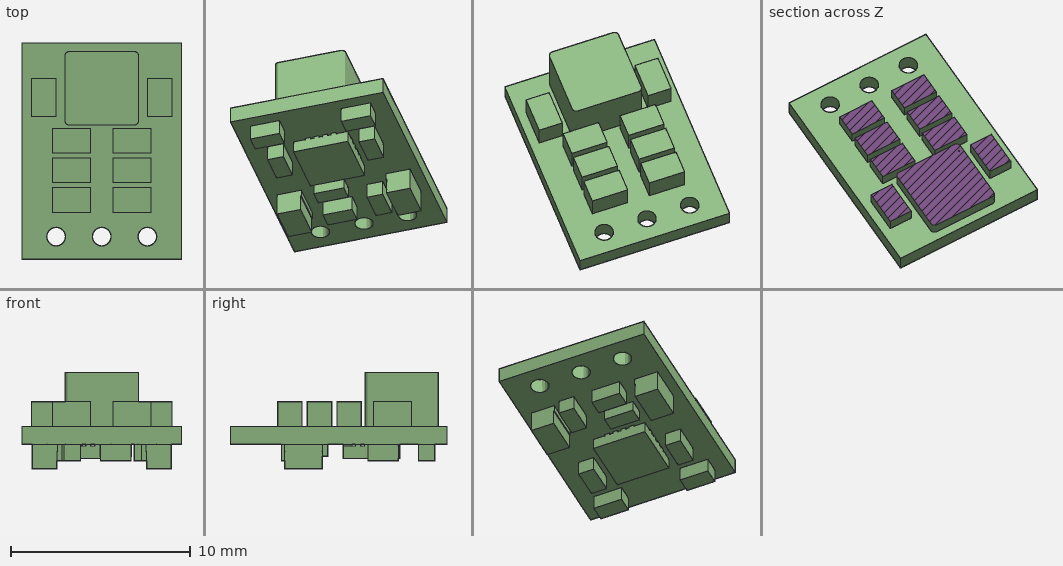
import cadquery as cq

BOARD_WIDTH = 8.89
BOARD_LENGTH = 12.06
BOARD_THICKNESS = 1.0

PIN_COUNT = 3
PIN_PITCH = 2.54
PIN_HOLE_DIAMETER = 1.02
PIN_EDGE_DISTANCE = 1.27

INDUCTOR_SIZE = 4.1
INDUCTOR_HEIGHT = 3.0
INDUCTOR_CORNER_RADIUS = 0.25
INDUCTOR_Y = 3.5

LARGE_CHIP = (2.1, 1.37, 0.5)
SMALL_CHIP = (1.7, 0.92, 0.3)

SIDE_CHIP_X = 3.23
SIDE_CHIP_Y = 2.99
BANK_CHIP_X = 1.69
BANK_FIRST_Y = 0.58
BANK_PITCH = 1.65
BANK_ROWS = 3

BOTTOM_CHIP_X = 3.19
BOTTOM_CHIP_Y = -1.96
STRIP_PROJECTION = 0.04
STRIP_HEIGHT = 0.4

REAR_CHIP_X = 2.65
REAR_CHIP_Y = 4.89
FLANK_CHIP_X = 2.66
FLANK_CHIP_Y = 2.47
FRONT_CHIP_END_Y = -3.2
FRONT_LENGTHWISE_X = -1.64
FRONT_CROSSWISE_X = 0.78

DIODE_LENGTH = 1.75
DIODE_WIDTH = 0.85
DIODE_HEIGHT = 0.68
DIODE_X = 0.77
DIODE_REAR_Y = -0.61

CONTROLLER_SIZE = 3.16
CONTROLLER_Y = 1.83
CONTROLLER_DROP = 0.8
CONTROLLER_STANDOFF = 0.09
LEADS_PER_SIDE = 4
LEAD_PITCH = 0.5
LEAD_WIDTH = 0.3
LEAD_LENGTH = 0.5
LEAD_HEIGHT = 0.22

LEFT_AND_RIGHT = (-1, 1)


def block(x, y, size_x, size_y, height, on_top):
    """Box centred on (x, y), standing on the top face or hanging from the underside."""
    z_start = BOARD_THICKNESS if on_top else -height
    return (
        cq.Workplane("XY", origin=(x, y, z_start))
        .box(size_x, size_y, height, centered=(True, True, False))
    )


def chip(x, y, size, along_x, on_top):
    """Chip as three pieces in line: end terminal, body, end terminal."""
    length, width, terminal = size
    terminal_offset = (length - terminal) / 2
    pieces = (
        (-terminal_offset, terminal),
        (0, length - 2 * terminal),
        (terminal_offset, terminal),
    )
    blocks = []
    for offset, piece_length in pieces:
        if along_x:
            blocks.append(block(x + offset, y, piece_length, width, width, on_top))
        else:
            blocks.append(block(x, y + offset, width, piece_length, width, on_top))
    return blocks


def board():
    """Plain rectangular board with a row of through holes."""
    pin_y = PIN_EDGE_DISTANCE - BOARD_LENGTH / 2
    return (
        cq.Workplane("XY")
        .box(BOARD_WIDTH, BOARD_LENGTH, BOARD_THICKNESS, centered=(True, True, False))
        .faces(">Z")
        .workplane(origin=(0, pin_y, 0))
        .rarray(PIN_PITCH, 1, PIN_COUNT, 1)
        .hole(PIN_HOLE_DIAMETER)
    )


def inductor():
    body = block(0, INDUCTOR_Y, INDUCTOR_SIZE, INDUCTOR_SIZE, INDUCTOR_HEIGHT, on_top=True)
    return body.edges("|Z").fillet(INDUCTOR_CORNER_RADIUS)


def top_chips():
    """One chip on each side of the inductor and two columns in front of it."""
    parts = []
    for side in LEFT_AND_RIGHT:
        parts += chip(side * SIDE_CHIP_X, SIDE_CHIP_Y, LARGE_CHIP, along_x=False, on_top=True)
        for row in range(BANK_ROWS):
            row_y = BANK_FIRST_Y - row * BANK_PITCH
            parts += chip(side * BANK_CHIP_X, row_y, LARGE_CHIP, along_x=True, on_top=True)
    return parts


def bottom_large_chips():
    length, width, _ = LARGE_CHIP
    strip_x = BOTTOM_CHIP_X - (width + STRIP_PROJECTION) / 2
    parts = []
    for side in LEFT_AND_RIGHT:
        parts += chip(side * BOTTOM_CHIP_X, BOTTOM_CHIP_Y, LARGE_CHIP, along_x=False, on_top=False)
        parts.append(
            block(side * strip_x, BOTTOM_CHIP_Y, STRIP_PROJECTION, length, STRIP_HEIGHT, on_top=False)
        )
    return parts


def bottom_small_chips():
    """Mirrored rear and flank pairs, and two front chips ending on the same -Y line."""
    length, width, _ = SMALL_CHIP
    parts = []
    for side in LEFT_AND_RIGHT:
        parts += chip(side * REAR_CHIP_X, REAR_CHIP_Y, SMALL_CHIP, along_x=True, on_top=False)
        parts += chip(side * FLANK_CHIP_X, FLANK_CHIP_Y, SMALL_CHIP, along_x=False, on_top=False)
    lengthwise_y = FRONT_CHIP_END_Y + length / 2
    crosswise_y = FRONT_CHIP_END_Y + width / 2
    parts += chip(FRONT_LENGTHWISE_X, lengthwise_y, SMALL_CHIP, along_x=False, on_top=False)
    parts += chip(FRONT_CROSSWISE_X, crosswise_y, SMALL_CHIP, along_x=True, on_top=False)
    return parts


def diode():
    diode_y = DIODE_REAR_Y - DIODE_WIDTH / 2
    return block(DIODE_X, diode_y, DIODE_LENGTH, DIODE_WIDTH, DIODE_HEIGHT, on_top=False)


def controller_lead(offset):
    """Lead on the -Y side of a controller centred on the origin, with a round inner end."""
    outer_y = -CONTROLLER_SIZE / 2
    round_centre_y = outer_y + LEAD_LENGTH - LEAD_WIDTH / 2
    half_width = LEAD_WIDTH / 2
    return (
        cq.Workplane("XY")
        .moveTo(offset - half_width, outer_y)
        .lineTo(offset + half_width, outer_y)
        .lineTo(offset + half_width, round_centre_y)
        .threePointArc((offset, outer_y + LEAD_LENGTH), (offset - half_width, round_centre_y))
        .close()
        .extrude(-LEAD_HEIGHT)
    )


def controller():
    """Controller body held off the board by leads flush with its four sides."""
    body_height = CONTROLLER_DROP - CONTROLLER_STANDOFF
    body = (
        cq.Workplane("XY", origin=(0, 0, -CONTROLLER_DROP))
        .box(CONTROLLER_SIZE, CONTROLLER_SIZE, body_height, centered=(True, True, False))
    )
    for index in range(LEADS_PER_SIDE):
        lead = controller_lead((index - (LEADS_PER_SIDE - 1) / 2) * LEAD_PITCH)
        for angle in (0, 90, 180, 270):
            body = body.union(lead.rotate((0, 0, 0), (0, 0, 1), angle), clean=False)
    return body.translate((0, CONTROLLER_Y, 0))


components = [inductor(), diode(), controller()]
components += top_chips()
components += bottom_large_chips()
components += bottom_small_chips()

result = board()
for component in components:
    result = result.union(component, clean=False)